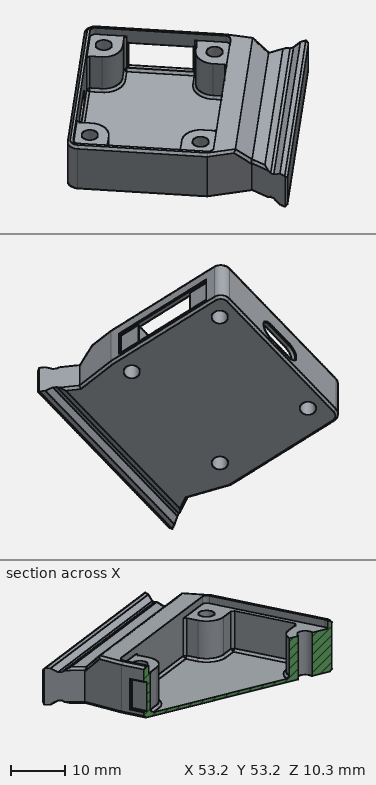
import cadquery as cq
import math

TURN_ANGLE = 30.0

BOX_HEIGHT = 10.3
BOX_BACK = -14.0
BOX_LEFT = 17.25
BOX_RIGHT = -18.75
BOX_CORNER_RADIUS = 2.0
EDGE_CHAMFER = 0.5
WALL = 1.0
FLOOR = 0.8

TAPER_START = 12.0
SLOPE_START = 17.0
NECK_X = 20.0
NECK_HALF_WIDTH = 16.25
RAIL_CENTRE_Y = 0.12
RAIL_HEIGHT = 7.3
RAIL_END = 26.95
FLARE_ANGLE = 30.0
GROOVE_X = 24.0
GROOVE_WIDTH = 3.0
GROOVE_FLOOR_WIDTH = 0.6
GROOVE_DEPTH = 0.8

CAVITY_HALF_LENGTH = -BOX_BACK - WALL
LEDGE_WIDTH = 1.0
CAVITY_LEFT = BOX_LEFT - WALL
CAVITY_RIGHT = BOX_RIGHT + WALL + LEDGE_WIDTH
LEDGE_Z = 8.8
CAVITY_CORNER_RADIUS = 1.0
CAVITY_CHAMFER = 0.5
HOLE_DIAMETER = 3.0
HOLE_X = 10.25
HOLE_Y = 13.25
POST_RADIUS = 3.5

SLOT_LENGTH = 9.5
SLOT_HEIGHT = 3.8
SLOT_Z = RAIL_HEIGHT / 2
OPENING_CHAMFER = 0.2
CHAMFER_ANGLE = 45.0

WINDOW_RECESS_LENGTH = 20.0
WINDOW_LENGTH = 12.0
WINDOW_HEIGHT = 5.8
WINDOW_Z = 4.3
WINDOW_RECESS_DEPTH = 0.5


def flare_half_width(x):
    """Half width of the flared rail at distance x."""
    return NECK_HALF_WIDTH + (x - NECK_X) * math.tan(math.radians(FLARE_ANGLE))


def make_body():
    """Box, tapered neck and the chamfered start of the rail, up to the groove centre."""
    half_width = flare_half_width(GROOVE_X)
    body = (
        cq.Workplane("XY")
        .polyline([
            (BOX_BACK, BOX_RIGHT),
            (TAPER_START, BOX_RIGHT),
            (NECK_X, RAIL_CENTRE_Y - NECK_HALF_WIDTH),
            (GROOVE_X, RAIL_CENTRE_Y - half_width),
            (GROOVE_X, RAIL_CENTRE_Y + half_width),
            (NECK_X, RAIL_CENTRE_Y + NECK_HALF_WIDTH),
            (TAPER_START, BOX_LEFT),
            (BOX_BACK, BOX_LEFT),
        ])
        .close()
        .extrude(BOX_HEIGHT)
        .edges("|Z and <X")
        .fillet(BOX_CORNER_RADIUS)
    )
    step = (
        cq.Workplane("XZ")
        .polyline([
            (SLOPE_START, BOX_HEIGHT),
            (NECK_X, RAIL_HEIGHT),
            (GROOVE_X, RAIL_HEIGHT),
            (GROOVE_X, BOX_HEIGHT),
        ])
        .close()
        .extrude(2 * half_width, both=True)
    )
    body = body.cut(step)
    rim = body.edges("(not |Z) and (not |Y)")
    back_rim = body.edges("|Y and <X")
    return body.newObject(rim.vals() + back_rim.vals()).chamfer(EDGE_CHAMFER)


def make_rail_end():
    """Outer part of the rail, with a chamfered end face."""
    start = flare_half_width(GROOVE_X)
    end = flare_half_width(RAIL_END)
    return (
        cq.Workplane("XY")
        .polyline([
            (GROOVE_X, RAIL_CENTRE_Y - start),
            (RAIL_END, RAIL_CENTRE_Y - end),
            (RAIL_END, RAIL_CENTRE_Y + end),
            (GROOVE_X, RAIL_CENTRE_Y + start),
        ])
        .close()
        .extrude(RAIL_HEIGHT)
        .faces(">X")
        .chamfer(EDGE_CHAMFER)
    )


def make_groove(surface_z, floor_z):
    """Trapezoidal groove along the rail, from a rail surface down to the groove floor."""
    return (
        cq.Workplane("XZ")
        .polyline([
            (GROOVE_X - GROOVE_WIDTH / 2, surface_z),
            (GROOVE_X - GROOVE_FLOOR_WIDTH / 2, floor_z),
            (GROOVE_X + GROOVE_FLOOR_WIDTH / 2, floor_z),
            (GROOVE_X + GROOVE_WIDTH / 2, surface_z),
        ])
        .close()
        .extrude(2 * flare_half_width(RAIL_END), both=True)
    )


def block(x_min, x_max, y_min, y_max, z_min, z_max):
    """Axis-aligned block between the given limits."""
    return (
        cq.Workplane("XY")
        .box(x_max - x_min, y_max - y_min, z_max - z_min, centered=False)
        .translate((x_min, y_min, z_min))
    )


def make_cavity():
    """Cross-shaped cavity that leaves a rounded screw post in each corner."""
    post_x = HOLE_X - POST_RADIUS
    post_y = HOLE_Y - POST_RADIUS
    lengthwise = block(-CAVITY_HALF_LENGTH, CAVITY_HALF_LENGTH, -post_y, post_y, FLOOR, LEDGE_Z)
    crosswise = block(-post_x, post_x, CAVITY_RIGHT, CAVITY_LEFT, FLOOR, LEDGE_Z)

    def is_post_corner(edge):
        return abs(edge.Center().x) < HOLE_X and abs(edge.Center().y) < HOLE_Y

    def is_wall_corner(edge):
        beyond_x = abs(edge.Center().x) > HOLE_X + POST_RADIUS / 2
        beyond_y = abs(edge.Center().y) > HOLE_Y + POST_RADIUS / 2
        return beyond_x or beyond_y

    cavity = lengthwise.union(crosswise)
    cavity = cavity.newObject(cavity.edges("|Z").filter(is_post_corner).vals()).fillet(POST_RADIUS)
    floor_edges = cavity.edges("<Z").vals()
    wall_corners = cavity.edges("|Z").filter(is_wall_corner).vals()
    return cavity.newObject(floor_edges + wall_corners).chamfer(CAVITY_CHAMFER)


def make_lid_seat():
    """Rounded pocket above the posts and the ledge."""
    seat = block(
        -CAVITY_HALF_LENGTH, CAVITY_HALF_LENGTH,
        BOX_RIGHT + WALL, CAVITY_LEFT,
        LEDGE_Z, BOX_HEIGHT,
    )
    return seat.edges("|Z").fillet(CAVITY_CORNER_RADIUS)


def make_screw_holes():
    """Through holes down the four posts."""
    return (
        cq.Workplane("XY")
        .rect(2 * HOLE_X, 2 * HOLE_Y, forConstruction=True)
        .vertices()
        .circle(HOLE_DIAMETER / 2)
        .extrude(BOX_HEIGHT)
    )


def make_slot():
    """Rounded slot through the back wall, chamfered on the outside."""
    face = cq.Workplane("YZ", origin=(BOX_BACK, 0, SLOT_Z))
    slot = face.slot2D(SLOT_LENGTH, SLOT_HEIGHT).extrude(WALL)
    rim = (
        face.slot2D(SLOT_LENGTH + 2 * OPENING_CHAMFER, SLOT_HEIGHT + 2 * OPENING_CHAMFER)
        .extrude(OPENING_CHAMFER, taper=CHAMFER_ANGLE)
    )
    return slot.union(rim)


def make_window():
    """Window in a chamfered recess of the left wall, its ends flared towards the cavity."""
    face = cq.Workplane("XZ", origin=(0, BOX_LEFT, WINDOW_Z))
    opening = face.rect(WINDOW_LENGTH, WINDOW_HEIGHT).extrude(WALL)
    recess = face.rect(WINDOW_RECESS_LENGTH, WINDOW_HEIGHT).extrude(WINDOW_RECESS_DEPTH)
    rim = (
        face.rect(WINDOW_RECESS_LENGTH + 2 * OPENING_CHAMFER, WINDOW_HEIGHT + 2 * OPENING_CHAMFER)
        .extrude(OPENING_CHAMFER, taper=CHAMFER_ANGLE)
    )
    half_length = WINDOW_LENGTH / 2
    inner_flare = (
        cq.Workplane("XY", origin=(0, CAVITY_LEFT, WINDOW_Z - WINDOW_HEIGHT / 2))
        .polyline([
            (-half_length - OPENING_CHAMFER, 0),
            (half_length + OPENING_CHAMFER, 0),
            (half_length, OPENING_CHAMFER),
            (-half_length, OPENING_CHAMFER),
        ])
        .close()
        .extrude(WINDOW_HEIGHT)
    )
    return opening.union(recess).union(rim).union(inner_flare)


result = (
    make_body()
    .union(make_rail_end())
    .cut(make_groove(RAIL_HEIGHT, RAIL_HEIGHT - GROOVE_DEPTH))
    .cut(make_groove(0, GROOVE_DEPTH))
    .cut(make_cavity())
    .cut(make_lid_seat())
    .cut(make_screw_holes())
    .cut(make_slot())
    .cut(make_window())
    .clean()
    .rotate((0, 0, 0), (0, 0, 1), TURN_ANGLE)
)